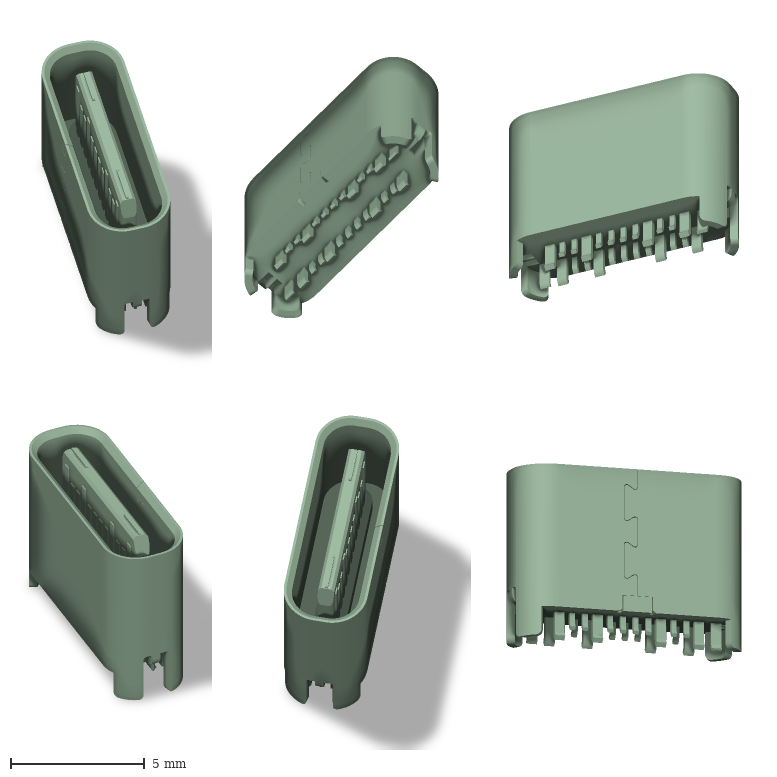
import cadquery as cq
import math

LENGTH = 8.94
DEPTH = 3.16
CORNER_RADIUS = 1.33
WALL = 0.3
LEG_TIP_Z = 0.0
SHELL_BOTTOM = 1.06
SHELL_TOP = 6.5
MOUTH_CHAMFER = 0.21
ARC_X = LENGTH / 2 - CORNER_RADIUS
ARC_Y = DEPTH / 2 - CORNER_RADIUS

LEG_START_ANGLE = 11.4
LEG_END_ANGLE = 62.9
LEG_TIP_RADIUS = 0.215

RELIEF_TOP = 1.95
RELIEF_RADIUS = 0.13
TAB_WIDTH = 0.33
TAB_BEND_TOP = 1.74
TAB_BEND_RADIUS = 0.39

SEAM_GAP = 0.03
SEAM_STEP = 0.54
SEAM_CROSSINGS = (5.81, 4.595, 3.61, 2.4)
SEAM_HALF_RISE = 0.17
SEAM_RADIUS = 0.11
KEY_WIDTH = 1.13
KEY_TOP = 1.67
KEY_GAP = 0.04
KEY_TOP_GAP = 0.01
KEY_NOTCH_CHAMFER = 0.11

FLOOR_Z = 2.15
RECESS_WIDTH = 0.75
RECESS_TOP = 1.72
RECESS_STEP_Z = 1.51
RECESS_RIM_DEPTH = 0.03
RECESS_UPPER_DEPTH = 0.4
RECESS_LOWER_DEPTH = 0.54
TONGUE_LENGTH = 6.69
TONGUE_THICKNESS = 0.61
TONGUE_EDGE_RADIUS = 0.15
TIP_CHAMFER = 0.11
TIP_LENGTH = 6.1
TIP_END_ANGLE = 68.4
BASE_THICKNESS = 1.2
BASE_TOP = 3.13
BASE_CORNER_RADIUS = 0.34
BASE_SLOPE_ANGLE = 40.0

PLATE_THICKNESS = 0.1
PLATE_TOP = 6.6
PLATE_TAB_INNER = 1.68
PLATE_TAB_OUTER = 3.02
PLATE_TAB_RADIUS = 0.09
PLATE_WING_RISE = 0.045
PLATE_WING_STEP = 0.03
PLATE_WING_STEP_X = 3.66
PLATE_WING_BLEND = 0.11

PITCH = 0.5
CONTACTS_PER_ROW = 12
GROUND_CONTACTS = (0, 3, 8, 11)
CONTACT_WIDTH = 0.29
CONTACT_PROUD = 0.045
LONG_CONTACT_TOP = 5.97
SHORT_CONTACT_TOP = 5.44
LEAD_FRONT = 0.64
LEAD_ROOT = 1.34
LEAD_BEND_ANGLE = 52.0
WIDE_LEAD_WIDTH = 0.38
WIDE_LEAD_THICKNESS = 0.2
WIDE_LEAD_BEND_RADIUS = 0.18
NARROW_LEAD_WIDTH = 0.21
NARROW_LEAD_THICKNESS = 0.14
NARROW_LEAD_BEND_RADIUS = 0.215
NARROW_LEAD_BOTTOM = 0.41

PLATE_LEAD_INNER = 3.25
PLATE_LEAD_OUTER = 3.66
PLATE_LEAD_FRONT = 0.545
PLATE_LEAD_TOP = 1.49
PLATE_LEAD_BOTTOM = 0.03
PLATE_LEAD_BEND_RADIUS = 0.28
PLATE_LEAD_BEND_ANGLE = 42.0


def box(x0, x1, y0, y1, z0, z1):
    return cq.Workplane("XY").box(x1 - x0, y1 - y0, z1 - z0, centered=False).translate((x0, y0, z0))


def oblong(inset, z0, z1):
    """Prism of the shell outline moved inwards by inset."""
    outline = cq.Workplane("XY").rect(LENGTH - 2 * inset, DEPTH - 2 * inset).extrude(z1 - z0)
    return outline.edges("|Z").fillet(CORNER_RADIUS - inset).translate((0, 0, z0))


def both_ends(solid):
    return solid.union(solid.mirror("YZ"))


def both_rows(solid):
    return solid.union(solid.mirror("XZ"))


def leg_sector():
    """Wedge around one corner arc that holds a shell leg."""
    reach = LENGTH
    points = [(ARC_X, ARC_Y)]
    for angle in (LEG_START_ANGLE, LEG_END_ANGLE):
        turn = math.radians(angle)
        points.append((ARC_X + reach * math.cos(turn), ARC_Y + reach * math.sin(turn)))
    return cq.Workplane("XY").polyline(points).close().extrude(SHELL_BOTTOM)


def side_relief():
    """Opening between the two legs of the +X end, leaving the retaining tab."""
    reach = CORNER_RADIUS + WALL
    spread = reach * math.tan(math.radians(LEG_START_ANGLE))
    x_far = ARC_X + reach
    points = [(ARC_X, -ARC_Y), (x_far, -ARC_Y - spread), (x_far, ARC_Y + spread), (ARC_X, ARC_Y)]
    opening = cq.Workplane("XY").polyline(points).close().extrude(RELIEF_TOP)
    opening = opening.faces(">Z").edges("not |Y").fillet(RELIEF_RADIUS)
    tab = box(0, LENGTH, -TAB_WIDTH / 2, TAB_WIDTH / 2, TAB_BEND_TOP, RELIEF_TOP)
    return opening.cut(tab)


def retaining_tab():
    """Quarter bend that turns the tab of the +X end inwards."""
    x_center = LENGTH / 2 - TAB_BEND_RADIUS
    inner_radius = TAB_BEND_RADIUS - WALL
    ring = cq.Workplane("XZ").center(x_center, TAB_BEND_TOP).circle(TAB_BEND_RADIUS).circle(inner_radius)
    ring = ring.extrude(TAB_WIDTH / 2, both=True)
    quarter = box(x_center, LENGTH, -DEPTH, DEPTH, 0, TAB_BEND_TOP)
    return ring.intersect(quarter)


def seam_slit():
    """Dovetailed slit of constant width through the front wall."""
    z_high = SHELL_TOP + SEAM_STEP
    z_low = KEY_TOP - SEAM_STEP
    points = [(0, z_high)]
    x_now, x_next = 0, -SEAM_STEP
    for z_cross in SEAM_CROSSINGS:
        points.append((x_now, z_cross - SEAM_HALF_RISE))
        points.append((x_next, z_cross + SEAM_HALF_RISE))
        x_now, x_next = x_next, x_now
    points += [(0, z_low), (-ARC_X, z_low), (-ARC_X, z_high)]
    region = cq.Workplane("XZ", origin=(0, -DEPTH / 2, 0)).polyline(points).close().extrude(-WALL)
    teeth = cq.selectors.BoxSelector((-ARC_X / 2, -DEPTH, KEY_TOP), (ARC_X / 2, 0, SHELL_TOP))
    region = region.edges("|Y").edges(teeth).fillet(SEAM_RADIUS)

    outline = region.faces("<Y").wires()
    grown = outline.toPending().offset2D(SEAM_GAP / 2).extrude(-WALL, combine=False)
    shrunk = outline.toPending().offset2D(-SEAM_GAP / 2).extrude(-WALL, combine=False)
    reach = box(-ARC_X / 2, ARC_X / 2, -DEPTH / 2, WALL - DEPTH / 2, KEY_TOP, SHELL_TOP)
    return grown.cut(shrunk).intersect(reach)


def make_shell():
    tube = oblong(0, SHELL_BOTTOM, SHELL_TOP).cut(oblong(WALL, SHELL_BOTTOM, SHELL_TOP))
    mouth = oblong(WALL - MOUTH_CHAMFER, SHELL_TOP - MOUTH_CHAMFER, SHELL_TOP + MOUTH_CHAMFER)
    mouth = mouth.faces("<Z").edges().chamfer(MOUTH_CHAMFER)
    tube = tube.cut(mouth)
    tube = tube.cut(both_ends(side_relief()))

    leg_ring = oblong(0, LEG_TIP_Z, SHELL_BOTTOM).cut(oblong(WALL, LEG_TIP_Z, SHELL_BOTTOM))
    leg = leg_ring.intersect(leg_sector())
    leg = leg.faces("<Z").edges("%LINE").fillet(LEG_TIP_RADIUS)
    tube = tube.union(both_rows(both_ends(leg)))

    tube = tube.union(both_ends(retaining_tab()))
    tube = tube.cut(seam_slit())

    half_notch = KEY_WIDTH / 2 + KEY_GAP
    notch = box(-half_notch, half_notch, -DEPTH / 2, WALL - DEPTH / 2, SHELL_BOTTOM, KEY_TOP)
    flare_half = half_notch + KEY_NOTCH_CHAMFER
    flare_points = [
        (-flare_half, 0),
        (flare_half, 0),
        (half_notch, KEY_NOTCH_CHAMFER),
        (-half_notch, KEY_NOTCH_CHAMFER),
    ]
    flare_plane = cq.Workplane("XZ", origin=(0, -DEPTH / 2, SHELL_BOTTOM))
    flare = flare_plane.polyline(flare_points).close().extrude(-WALL)
    return tube.cut(notch).cut(flare)


def make_tongue():
    height = SHELL_TOP - FLOOR_Z
    tongue = cq.Workplane("XY").rect(TONGUE_LENGTH, TONGUE_THICKNESS).extrude(height)
    tongue = tongue.translate((0, 0, FLOOR_Z)).edges("|Z").fillet(TONGUE_EDGE_RADIUS)

    half = TONGUE_THICKNESS / 2
    shoulder = SHELL_TOP - TIP_CHAMFER
    section = cq.Workplane("YZ").polyline([
        (-half, FLOOR_Z), (half, FLOOR_Z), (half, shoulder),
        (half - TIP_CHAMFER, SHELL_TOP), (TIP_CHAMFER - half, SHELL_TOP), (-half, shoulder),
    ]).close().extrude(LENGTH / 2, both=True)

    end_run = (TONGUE_LENGTH - TIP_LENGTH) / 2
    slope_foot = SHELL_TOP - end_run * math.tan(math.radians(TIP_END_ANGLE))
    elevation = cq.Workplane("XZ").polyline([
        (-TONGUE_LENGTH / 2, FLOOR_Z), (TONGUE_LENGTH / 2, FLOOR_Z), (TONGUE_LENGTH / 2, slope_foot),
        (TIP_LENGTH / 2, SHELL_TOP), (-TIP_LENGTH / 2, SHELL_TOP), (-TONGUE_LENGTH / 2, slope_foot),
    ]).close().extrude(DEPTH / 2, both=True)
    return tongue.intersect(section).intersect(elevation)


def make_base():
    """Thicker root of the tongue with sloped shoulders."""
    block = cq.Workplane("XY").rect(TONGUE_LENGTH, BASE_THICKNESS).extrude(BASE_TOP - FLOOR_Z)
    block = block.translate((0, 0, FLOOR_Z)).edges("|Z").fillet(BASE_CORNER_RADIUS)
    run = (BASE_THICKNESS - TONGUE_THICKNESS) / 2
    shoulder = BASE_TOP - run * math.tan(math.radians(BASE_SLOPE_ANGLE))
    section = cq.Workplane("YZ").polyline([
        (-BASE_THICKNESS / 2, FLOOR_Z), (BASE_THICKNESS / 2, FLOOR_Z), (BASE_THICKNESS / 2, shoulder),
        (TONGUE_THICKNESS / 2, BASE_TOP), (-TONGUE_THICKNESS / 2, BASE_TOP), (-BASE_THICKNESS / 2, shoulder),
    ]).close().extrude(LENGTH / 2, both=True)
    return block.intersect(section)


def make_insulator():
    body = oblong(WALL, SHELL_BOTTOM, FLOOR_Z)
    wall_x = LENGTH / 2 - WALL
    half = RECESS_WIDTH / 2
    upper = box(wall_x - RECESS_UPPER_DEPTH, wall_x, -half, half, SHELL_BOTTOM, RECESS_TOP)
    lower = box(wall_x - RECESS_LOWER_DEPTH, wall_x, -half, half, SHELL_BOTTOM, RECESS_STEP_Z)
    body = body.cut(both_ends(upper.union(lower)))
    rim = oblong(WALL, SHELL_BOTTOM, RELIEF_TOP)
    rim = rim.cut(oblong(WALL + RECESS_RIM_DEPTH, SHELL_BOTTOM, RELIEF_TOP))
    body = body.cut(rim.intersect(box(-LENGTH, LENGTH, -half, half, SHELL_BOTTOM, RELIEF_TOP)))
    key_back = 2 * WALL - DEPTH / 2
    key = box(-KEY_WIDTH / 2, KEY_WIDTH / 2, -DEPTH / 2, key_back, SHELL_BOTTOM, KEY_TOP - KEY_TOP_GAP)
    return body.union(key).union(make_base()).union(make_tongue())


def make_plate():
    """Exposed parts of the mid plate at the +X end: tip tab and floor wing."""
    half = PLATE_THICKNESS / 2
    tab = box(PLATE_TAB_INNER, PLATE_TAB_OUTER, -half, half, BASE_TOP, PLATE_TOP)
    tab = tab.faces(">Z").edges("|Y").fillet(PLATE_TAB_RADIUS)
    wall_x = LENGTH / 2 - WALL
    tongue_x = TONGUE_LENGTH / 2
    low = FLOOR_Z + PLATE_WING_RISE
    high = low + PLATE_WING_STEP
    blend = PLATE_WING_BLEND
    mid_blend = blend * (1 - math.sqrt(0.5))
    wing = (
        cq.Workplane("XZ")
        .moveTo(ARC_X, SHELL_BOTTOM)
        .lineTo(wall_x, SHELL_BOTTOM)
        .lineTo(wall_x, low)
        .lineTo(PLATE_WING_STEP_X, low)
        .lineTo(PLATE_WING_STEP_X, high)
        .lineTo(tongue_x + blend, high)
        .threePointArc((tongue_x + mid_blend, high + mid_blend), (tongue_x, high + blend))
        .lineTo(ARC_X, high + blend)
        .close()
        .extrude(half, both=True)
    )
    return tab.union(wing)


def bent_lead(width, front, thickness, z_root, z_tip, radius, angle):
    """Lead on the -Y side whose foot bends outwards; centred on X = 0."""
    turn = math.radians(angle)
    y_center = -front - radius
    z_center = z_tip + (radius + thickness) * math.sin(turn)
    half_turn = turn / 2

    def on_bend(r, a):
        return (y_center + r * math.cos(a), z_center - r * math.sin(a))

    outer = radius + thickness
    profile = (
        cq.Workplane("YZ")
        .moveTo(-front, z_root)
        .lineTo(-front, z_center)
        .threePointArc(on_bend(radius, half_turn), on_bend(radius, turn))
        .lineTo(*on_bend(outer, turn))
        .threePointArc(on_bend(outer, half_turn), on_bend(outer, 0))
        .lineTo(thickness - front, z_root)
        .close()
    )
    return profile.extrude(width / 2, both=True)


def make_contact_row():
    row = cq.Workplane("XY")
    half = CONTACT_WIDTH / 2
    pad_front = -TONGUE_THICKNESS / 2 - CONTACT_PROUD
    for index in range(CONTACTS_PER_ROW):
        if index in GROUND_CONTACTS:
            top = LONG_CONTACT_TOP
            width, thickness = WIDE_LEAD_WIDTH, WIDE_LEAD_THICKNESS
            z_tip, radius = LEG_TIP_Z, WIDE_LEAD_BEND_RADIUS
        else:
            top = SHORT_CONTACT_TOP
            width, thickness = NARROW_LEAD_WIDTH, NARROW_LEAD_THICKNESS
            z_tip, radius = NARROW_LEAD_BOTTOM, NARROW_LEAD_BEND_RADIUS
        x = (index - (CONTACTS_PER_ROW - 1) / 2) * PITCH
        pad = box(x - half, x + half, pad_front, 0, FLOOR_Z, top)
        lead = bent_lead(width, LEAD_FRONT, thickness, LEAD_ROOT, z_tip, radius, LEAD_BEND_ANGLE)
        row = row.add(pad).add(lead.translate((x, 0, 0)))
    return row.combine()


def make_plate_leads():
    """A lead on a level arm from the mid plate, at (+X, -Y) and turned half round at (-X, +Y)."""
    width = PLATE_LEAD_OUTER - PLATE_LEAD_INNER
    lead = bent_lead(
        width,
        PLATE_LEAD_FRONT,
        PLATE_THICKNESS,
        PLATE_LEAD_TOP,
        PLATE_LEAD_BOTTOM,
        PLATE_LEAD_BEND_RADIUS,
        PLATE_LEAD_BEND_ANGLE,
    )
    lead = lead.translate((PLATE_LEAD_INNER + width / 2, 0, 0))
    arm_bottom = PLATE_LEAD_TOP - PLATE_THICKNESS
    arm = box(PLATE_LEAD_INNER, PLATE_LEAD_OUTER, -PLATE_LEAD_FRONT, 0, arm_bottom, PLATE_LEAD_TOP)
    lead = lead.union(arm)
    return lead.union(lead.rotate((0, 0, 0), (0, 0, 1), 180))


result = (
    make_shell()
    .union(make_insulator())
    .union(both_ends(make_plate()))
    .union(both_rows(make_contact_row()))
    .union(make_plate_leads())
)